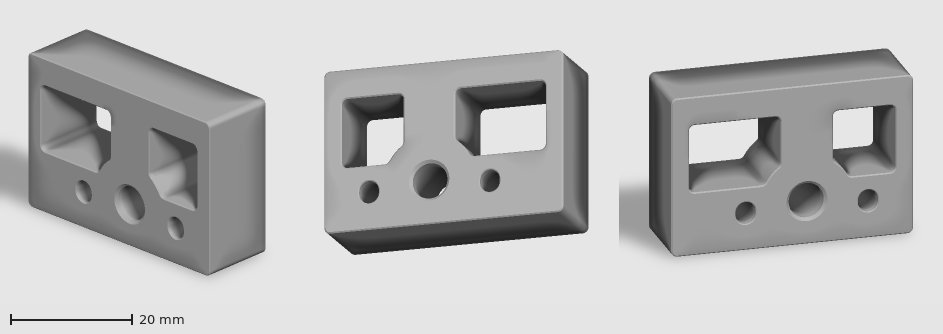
import cadquery as cq

length = 41.5
thickness = 13.5
height = 27.8
corner_radius = 1.0
edge_chamfer = 0.2

bore_x = 2.5
bore_z = -6.4
bore_diameter = 6.0
bore_chamfer = 0.5

slot_spacing = 21.0
slot_z = -7.43
slot_width = 3.4
slot_height = 3.8
slot_chamfer = 0.15

window_top = 8.92
window_bottom = -2.9
window_side = 17.7
web_width = 8.95
bore_wall_radius = 8.0
window_radius = 1.0

rim_margin = 0.05


def make_block():
    block = cq.Workplane("XY").box(length, thickness, height)
    block = block.edges("|Y").fillet(corner_radius)
    return block.faces("<Y or >Y").chamfer(edge_chamfer)


def front_plane(x, z):
    """Sketch plane on the front face: local x is X, local y is Z."""
    return cq.Workplane("XZ", origin=(x, -thickness / 2, z))


def make_bore():
    return front_plane(bore_x, bore_z).circle(bore_diameter / 2).extrude(-thickness)


def make_slot(x):
    return front_plane(x, slot_z).slot2D(slot_height, slot_width, 90).extrude(-thickness)


def make_window(outer_x, inner_x):
    """Rounded rectangle with its lower inner corner cut back concentric with the bore."""
    window = (
        front_plane((outer_x + inner_x) / 2, (window_top + window_bottom) / 2)
        .rect(abs(outer_x - inner_x), window_top - window_bottom)
        .extrude(-thickness)
    )
    bore_wall = front_plane(bore_x, bore_z).circle(bore_wall_radius).extrude(-thickness)
    return window.cut(bore_wall).edges("|Y").fillet(window_radius)


def cut_opening(body, opening, chamfer):
    """Cut a through opening and chamfer its rim on the front and back faces."""
    box = opening.val().BoundingBox()
    around_opening = cq.selectors.BoxSelector(
        (box.xmin - rim_margin, box.ymin - rim_margin, box.zmin - rim_margin),
        (box.xmax + rim_margin, box.ymax + rim_margin, box.zmax + rim_margin),
    )
    rim = body.cut(opening).faces("<Y or >Y").edges(around_opening)
    return rim.chamfer(chamfer)


result = make_block()
result = cut_opening(result, make_bore(), bore_chamfer)
for side in (-1, 1):
    slot = make_slot(bore_x + side * slot_spacing / 2)
    result = cut_opening(result, slot, slot_chamfer)
    window = make_window(side * window_side, bore_x + side * web_width / 2)
    result = cut_opening(result, window, edge_chamfer)